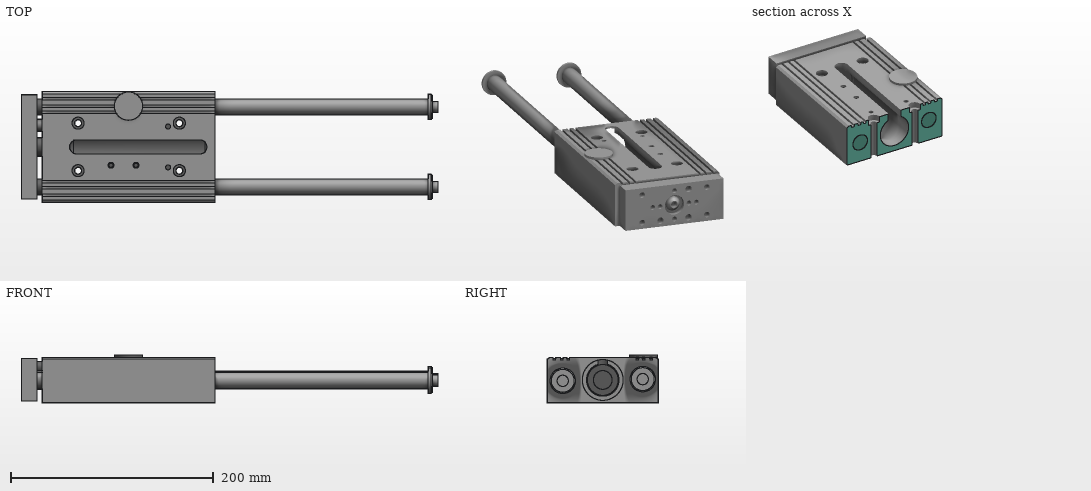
import cadquery as cq

TOTAL_LENGTH = 411.5
BORE_Z = 22.5

HOUSING_START = 20.5
HOUSING_LENGTH = 170.8
HOUSING_END = HOUSING_START + HOUSING_LENGTH
HOUSING_WIDTH = 110.0
HOUSING_HEIGHT = 45.0
EDGE_CHAMFER_WIDTH = 2.5
EDGE_CHAMFER_HEIGHT = 1.5

GROOVE_OFFSETS = [34.0, 40.5, 47.7]
GROOVE_WIDTH = 2.5
GROOVE_DEPTH = 2.5

SLOT_START = 47.7
SLOT_END = 183.0
SLOT_WIDTH = 14.0
BORE_STEP_X = 51.5
FRONT_BORE_DIAMETER = 30.5
BORE_DIAMETER = 32.0
END_RECESS_START = 181.5
END_RECESS_DIAMETER = 40.5

MOUNT_FIRST_X = 56.0
MOUNT_SPACING_X = 100.0
MOUNT_Y = 23.5
MOUNT_DIAMETER = 6.5
MOUNT_COUNTERBORE_DIAMETER = 12.0
MOUNT_COUNTERBORE_DEPTH = 6.0

DOWEL_X = 145.0
DOWEL_Y = 20.0
DOWEL_DIAMETER = 5.0
PORT_XS = [88.5, 113.0]
PORT_Y = -18.0
PORT_DIAMETER = 4.0
PORT_COUNTERBORE_DIAMETER = 5.8
PORT_COUNTERBORE_DEPTH = 2.0
TOP_HOLE_DEPTH = 8.2

COVER_X = 105.8
COVER_Y = 40.5
COVER_DIAMETER = 28.0
TOTAL_HEIGHT = 47.5
COVER_HEIGHT = TOTAL_HEIGHT - HOUSING_HEIGHT

PLATE_THICKNESS = 15.5
PLATE_WIDTH = 103.3
PLATE_HEIGHT = 42.5
PLATE_BOTTOM = 1.5

ROD_Y = 39.5
NEAR_ROD_Z = 22.0
FAR_ROD_Z = 23.5
ROD_PLACES = [(-ROD_Y, NEAR_ROD_Z), (ROD_Y, FAR_ROD_Z)]
ROD_DIAMETER = 16.0
PISTON_ROD_DIAMETER = 18.5
SIDE_PIN_Y = 21.5
SIDE_PIN_Z = 35.0
SIDE_PIN_DIAMETER = 12.0

COLLAR_START = 401.5
COLLAR_THICKNESS = 4.0
COLLAR_DIAMETER = 25.0
COLLAR_CHAMFER = 1.2
STUD_DIAMETER = 11.0

PLATE_HOLE_DEPTH = 8.2
CORNER_HOLE_DIAMETER = 5.8
CORNER_HOLE_Y = 34.0
CORNER_HOLE_Z = 14.5
ROUND_HOLE_OFFSET = 15.0
SMALL_HOLE_DIAMETER = 5.0
LARGE_HOLE_DIAMETER = 6.5
ROW_HOLE_YS = [15.2, 23.0]

RECESS_DIAMETER = 20.0
RECESS_DEPTH = 5.0
CONE_BASE_DIAMETER = 15.0
CONE_TIP_DIAMETER = 8.0
CONE_HEIGHT = 4.0
CONE_HOLE_DIAMETER = 6.5
CONE_HOLE_DEPTH = 8.2


def rod_along_x(start, end, diameter, y, z):
    return (
        cq.Workplane("YZ", origin=(start, y, z))
        .circle(diameter / 2)
        .extrude(end - start)
    )


def hole_down(top, x, y, diameter, depth):
    return (
        cq.Workplane("XY", origin=(x, y, top))
        .circle(diameter / 2)
        .extrude(-depth)
    )


def housing_block():
    block = (
        cq.Workplane("XY")
        .box(HOUSING_LENGTH, HOUSING_WIDTH, HOUSING_HEIGHT, centered=(False, True, False))
        .translate((HOUSING_START, 0, 0))
        .faces(">Z")
        .edges("|X")
        .chamfer(EDGE_CHAMFER_HEIGHT, EDGE_CHAMFER_WIDTH)
    )
    groove = cq.Workplane("XY").box(
        HOUSING_LENGTH, GROOVE_WIDTH, GROOVE_DEPTH, centered=(False, True, False)
    )
    for offset in GROOVE_OFFSETS:
        for y in (-offset, offset):
            block = block.cut(groove.translate((HOUSING_START, y, HOUSING_HEIGHT - GROOVE_DEPTH)))
    return block


def cut_bore_and_slot(block):
    slot_length = SLOT_END - SLOT_START
    slot = (
        cq.Workplane("XY", origin=((SLOT_START + SLOT_END) / 2, 0, BORE_Z))
        .slot2D(slot_length, SLOT_WIDTH)
        .extrude(HOUSING_HEIGHT - BORE_Z)
    )
    front_bore = rod_along_x(SLOT_START, BORE_STEP_X, FRONT_BORE_DIAMETER, 0, BORE_Z)
    bore = rod_along_x(BORE_STEP_X, HOUSING_END, BORE_DIAMETER, 0, BORE_Z)
    end_recess = rod_along_x(END_RECESS_START, HOUSING_END, END_RECESS_DIAMETER, 0, BORE_Z)
    return block.cut(slot).cut(front_bore).cut(bore).cut(end_recess)


def cut_rod_holes(block):
    for y, z in ROD_PLACES:
        block = block.cut(rod_along_x(HOUSING_START, HOUSING_END, ROD_DIAMETER, y, z))
    block = block.cut(rod_along_x(HOUSING_START, SLOT_START, PISTON_ROD_DIAMETER, 0, BORE_Z))
    return block


def cut_top_holes(block):
    for x in (MOUNT_FIRST_X, MOUNT_FIRST_X + MOUNT_SPACING_X):
        for y in (-MOUNT_Y, MOUNT_Y):
            block = block.cut(hole_down(HOUSING_HEIGHT, x, y, MOUNT_DIAMETER, HOUSING_HEIGHT))
            block = block.cut(
                hole_down(HOUSING_HEIGHT, x, y, MOUNT_COUNTERBORE_DIAMETER, MOUNT_COUNTERBORE_DEPTH)
            )
    for y in (-DOWEL_Y, DOWEL_Y):
        block = block.cut(hole_down(HOUSING_HEIGHT, DOWEL_X, y, DOWEL_DIAMETER, TOP_HOLE_DEPTH))
    for x in PORT_XS:
        block = block.cut(hole_down(HOUSING_HEIGHT, x, PORT_Y, PORT_DIAMETER, TOP_HOLE_DEPTH))
        block = block.cut(
            hole_down(HOUSING_HEIGHT, x, PORT_Y, PORT_COUNTERBORE_DIAMETER, PORT_COUNTERBORE_DEPTH)
        )
    return block


def make_housing():
    block = cut_top_holes(cut_rod_holes(cut_bore_and_slot(housing_block())))
    cover = hole_down(TOTAL_HEIGHT, COVER_X, COVER_Y, COVER_DIAMETER, COVER_HEIGHT)
    return block.union(cover)


def plate_holes():
    """Centres (y, z) and diameter of every small hole in the plate front."""
    holes = []
    for y in (-CORNER_HOLE_Y, CORNER_HOLE_Y):
        for rise in (-CORNER_HOLE_Z, CORNER_HOLE_Z):
            holes.append((y, BORE_Z + rise, CORNER_HOLE_DIAMETER))
    for rise in (-ROUND_HOLE_OFFSET, ROUND_HOLE_OFFSET):
        holes.append((0, BORE_Z + rise, SMALL_HOLE_DIAMETER))
        holes.append((-ROUND_HOLE_OFFSET, BORE_Z + rise, LARGE_HOLE_DIAMETER))
    holes.append((ROUND_HOLE_OFFSET, BORE_Z - ROUND_HOLE_OFFSET, LARGE_HOLE_DIAMETER))
    for offset in ROW_HOLE_YS:
        for y in (-offset, offset):
            holes.append((y, BORE_Z, SMALL_HOLE_DIAMETER))
    return holes


def make_plate():
    plate = (
        cq.Workplane("XY")
        .box(PLATE_THICKNESS, PLATE_WIDTH, PLATE_HEIGHT, centered=(False, True, False))
        .translate((0, 0, PLATE_BOTTOM))
    )
    for y, z, diameter in plate_holes():
        plate = plate.cut(rod_along_x(0, PLATE_HOLE_DEPTH, diameter, y, z))
    plate = plate.cut(rod_along_x(0, RECESS_DEPTH, RECESS_DIAMETER, 0, BORE_Z))
    cone = (
        cq.Workplane("YZ", origin=(RECESS_DEPTH, 0, BORE_Z))
        .circle(CONE_BASE_DIAMETER / 2)
        .workplane(offset=-CONE_HEIGHT)
        .circle(CONE_TIP_DIAMETER / 2)
        .loft()
    )
    cone_tip = RECESS_DEPTH - CONE_HEIGHT
    cone_hole = rod_along_x(cone_tip, cone_tip + CONE_HOLE_DEPTH, CONE_HOLE_DIAMETER, 0, BORE_Z)
    return plate.union(cone).cut(cone_hole)


def make_guide_rod(y, z):
    collar = rod_along_x(COLLAR_START, COLLAR_START + COLLAR_THICKNESS, COLLAR_DIAMETER, y, z)
    collar = collar.faces(">X").chamfer(COLLAR_CHAMFER)
    rod = rod_along_x(PLATE_THICKNESS, COLLAR_START, ROD_DIAMETER, y, z)
    stud = rod_along_x(COLLAR_START, TOTAL_LENGTH, STUD_DIAMETER, y, z)
    return rod.union(collar).union(stud)


def make_carriage():
    carriage = make_plate()
    for y, z in ROD_PLACES:
        carriage = carriage.union(make_guide_rod(y, z))
    piston_rod = rod_along_x(PLATE_THICKNESS, SLOT_START, PISTON_ROD_DIAMETER, 0, BORE_Z)
    side_pin = rod_along_x(PLATE_THICKNESS, HOUSING_START, SIDE_PIN_DIAMETER, SIDE_PIN_Y, SIDE_PIN_Z)
    return carriage.union(piston_rod).union(side_pin)


housing = make_housing()
carriage = make_carriage()
result = cq.Compound.makeCompound([housing.solids().val(), carriage.solids().val()])